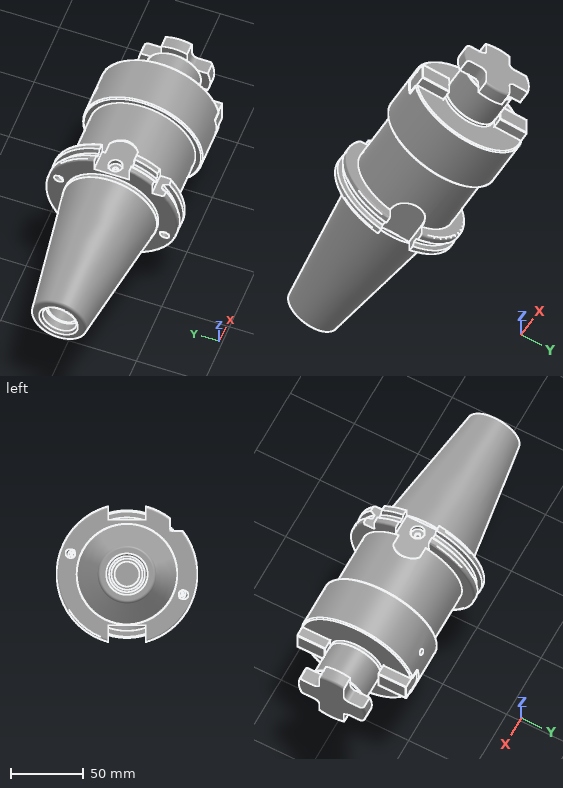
import cadquery as cq
import math

gauge_x = 101.7
flange_front_x = 104.8
flange_rear_x = 120.8
collar_x = 166.0
collar_end_x = 201.7
pilot_end_x = 228.7
overall_length = 238.8

gauge_radius = 34.9
taper_ratio = 7 / 24
small_end_radius = gauge_radius - gauge_x * taper_ratio / 2
small_end_round = 2.1
flange_radius = 48.7
flange_round = 1.7
body_radius = 39.2
collar_radius = 44.2
collar_chamfer = 1.0
pilot_radius = 20.0
pilot_chamfer = 0.5
neck_relief = 0.2
undercut_length = 2.5
undercut_depth = 0.2

groove_center_x = 112.7
groove_root_radius = 45.5
groove_root_half_width = 1.5
groove_flank_angle = 30.0

countersink_radius = 14.3
register_radius = 12.5
register_depth = 8.4
stud_thread_radius = 10.7
stud_thread_end_x = 47.8
screw_radius = 8.5
screw_end_x = 143.2

slot_width = 25.8
slot_end_x = 134.5
top_slot_floor = 37.7
bottom_slot_floor = 35.3
notch_offset = 29.8

pocket_radius = 5.0
pocket_depth = 4.5
pilot_hole_radius = 2.0
pilot_hole_depth = 2.0
drill_tip_half_angle = 59.0

plug_radius = 3.0
plug_circle_radius = 41.5
plug_angle = 20.0
plug_tilt = 25.0
plug_recess = 3.5
plug_length = 6.0
socket_width = 3.0
socket_depth = 2.9

collar_hole_radius = 2.1
collar_hole_depth = 3.5
collar_hole_x = 183.5
collar_hole_angle = 21.5

key_width = 16.7
key_start_x = 193.5
key_end_x = 209.5
key_inner = 20.8
key_outer = 42.7
key_chamfer = 0.5

head_radius = 26.5
head_round = 2.1
lobe_half_width = 9.5
lobe_corner_round = 4.3


def cylinder(radius, start, direction, length):
    return cq.Workplane(cq.Solid.makeCylinder(radius, length, start, direction))


def box_between(low, high):
    size = [b - a for a, b in zip(low, high)]
    return cq.Workplane().box(*size, centered=False).translate(low)


def turned_blank():
    """Outside of the holder, turned about the X axis."""
    relief_radius = gauge_radius - neck_relief
    undercut_radius = pilot_radius - undercut_depth
    profile = (
        cq.Workplane("XY")
        .moveTo(0, 0)
        .lineTo(0, small_end_radius)
        .lineTo(gauge_x, gauge_radius)
        .lineTo(gauge_x, relief_radius)
        .lineTo(flange_front_x, relief_radius)
        .lineTo(flange_front_x, flange_radius)
        .lineTo(flange_rear_x, flange_radius)
        .lineTo(flange_rear_x, body_radius)
        .lineTo(collar_x, body_radius)
        .lineTo(collar_x, collar_radius - collar_chamfer)
        .lineTo(collar_x + collar_chamfer, collar_radius)
        .lineTo(collar_end_x - collar_chamfer, collar_radius)
        .lineTo(collar_end_x, collar_radius - collar_chamfer)
        .lineTo(collar_end_x, undercut_radius)
        .lineTo(collar_end_x + undercut_length, undercut_radius)
        .lineTo(collar_end_x + undercut_length, pilot_radius)
        .lineTo(pilot_end_x - pilot_chamfer, pilot_radius)
        .lineTo(pilot_end_x, pilot_radius - pilot_chamfer)
        .lineTo(pilot_end_x, 0)
        .close()
    )
    blank = profile.revolve(360, (0, 0, 0), (1, 0, 0))
    flange_rims = cq.selectors.RadiusNthSelector(-1)
    blank = blank.edges("%CIRCLE").edges(flange_rims).fillet(flange_round)
    return blank.faces("<X").edges().fillet(small_end_round)


def gripper_groove():
    depth = flange_radius - groove_root_radius
    rim_half_width = groove_root_half_width + depth * math.tan(math.radians(groove_flank_angle))
    return (
        cq.Workplane("XY")
        .moveTo(groove_center_x - groove_root_half_width, groove_root_radius)
        .lineTo(groove_center_x + groove_root_half_width, groove_root_radius)
        .lineTo(groove_center_x + rim_half_width, flange_radius)
        .lineTo(groove_center_x - rim_half_width, flange_radius)
        .close()
        .revolve(360, (0, 0, 0), (1, 0, 0))
    )


def axial_bore():
    countersink_depth = countersink_radius - register_radius
    return (
        cq.Workplane("XY")
        .moveTo(0, 0)
        .lineTo(0, countersink_radius)
        .lineTo(countersink_depth, register_radius)
        .lineTo(register_depth, register_radius)
        .lineTo(register_depth, stud_thread_radius)
        .lineTo(stud_thread_end_x, stud_thread_radius)
        .lineTo(stud_thread_end_x, screw_radius)
        .lineTo(pilot_end_x, screw_radius)
        .lineTo(pilot_end_x, 0)
        .close()
        .revolve(360, (0, 0, 0), (1, 0, 0))
    )


def driving_slot(floor, side):
    """Round-ended slot from the flange front into the body; side is +1 for +Z, -1 for -Z."""
    half_width = slot_width / 2
    return (
        cq.Workplane("XY")
        .moveTo(flange_front_x, -half_width)
        .lineTo(slot_end_x - half_width, -half_width)
        .threePointArc((slot_end_x, 0), (slot_end_x - half_width, half_width))
        .lineTo(flange_front_x, half_width)
        .close()
        .extrude(side * (flange_radius - floor))
        .translate((0, 0, side * floor))
    )


def orientation_notch():
    return box_between(
        (flange_front_x, -flange_radius, notch_offset),
        (flange_rear_x, -notch_offset, flange_radius),
    )


def slot_pocket():
    """Flat pocket with a small drilled hole, sunk into the top slot floor."""
    floor_z = top_slot_floor - pocket_depth
    hole_z = floor_z - pilot_hole_depth
    tip_z = hole_z - pilot_hole_radius / math.tan(math.radians(drill_tip_half_angle))
    return (
        cq.Workplane("XZ")
        .moveTo(0, tip_z)
        .lineTo(pilot_hole_radius, hole_z)
        .lineTo(pilot_hole_radius, floor_z)
        .lineTo(pocket_radius, floor_z)
        .lineTo(pocket_radius, top_slot_floor)
        .lineTo(0, top_slot_floor)
        .close()
        .revolve(360, (0, 0, 0), (0, 1, 0))
        .translate((groove_center_x, 0, 0))
    )


def plug_plane(turn):
    """Plane on the flange front whose normal runs down an inclined hole."""
    angle = math.radians(plug_angle + turn)
    tilt = math.radians(plug_tilt)
    outward = cq.Vector(0, math.cos(angle), math.sin(angle))
    origin = cq.Vector(flange_front_x, 0, 0) + outward * plug_circle_radius
    normal = cq.Vector(math.cos(tilt), 0, 0) - outward * math.sin(tilt)
    across = cq.Vector(1, 0, 0).cross(outward)
    return cq.Plane(origin, across, normal)


def plug_hole(turn):
    return (
        cq.Workplane(plug_plane(turn))
        .workplane(offset=-plug_radius)
        .circle(plug_radius)
        .extrude(plug_radius + plug_recess + plug_length)
    )


def plug_screw(turn):
    socket_diameter = socket_width / math.cos(math.pi / 6)
    screw = cq.Workplane(plug_plane(turn)).workplane(offset=plug_recess).circle(plug_radius).extrude(plug_length)
    socket = (
        cq.Workplane(plug_plane(turn))
        .workplane(offset=plug_recess)
        .polygon(6, socket_diameter)
        .extrude(socket_depth)
    )
    return screw.cut(socket)


def collar_hole():
    angle = math.radians(collar_hole_angle)
    outward = cq.Vector(0, math.cos(angle), math.sin(angle))
    floor_center = cq.Vector(collar_hole_x, 0, 0) + outward * (collar_radius - collar_hole_depth)
    return cylinder(collar_hole_radius, floor_center, outward, 2 * collar_hole_depth)


def key_seat(turn):
    """Slot across the collar's end face, open to the outside."""
    seat = box_between(
        (key_start_x, key_inner, -key_width / 2),
        (collar_end_x, collar_radius, key_width / 2),
    )
    return seat.rotate((0, 0, 0), (1, 0, 0), turn)


def driving_key(turn):
    key = box_between(
        (key_start_x, key_inner, -key_width / 2),
        (key_end_x, key_outer, key_width / 2),
    )
    key = key.faces(">X").edges().chamfer(key_chamfer)
    return key.rotate((0, 0, 0), (1, 0, 0), turn)


def clamping_screw():
    """Screw with a four-lobed head clamped against the end of the pilot."""
    head_length = overall_length - pilot_end_x
    direction = cq.Vector(1, 0, 0)
    disc = cylinder(head_radius, cq.Vector(pilot_end_x, 0, 0), direction, head_length)
    disc = disc.faces(">X").edges().fillet(head_round)
    plane = cq.Workplane("YZ", origin=(pilot_end_x, 0, 0))
    reach = 2 * head_radius
    width = 2 * lobe_half_width
    cross = plane.rect(reach, width).extrude(head_length).union(plane.rect(width, reach).extrude(head_length))
    inner_corners = cq.selectors.BoxSelector(
        (pilot_end_x, -width, -width), (overall_length, width, width)
    )
    cross = cross.edges("|X").edges(inner_corners).fillet(lobe_corner_round)
    shank = cylinder(screw_radius, cq.Vector(screw_end_x, 0, 0), direction, pilot_end_x - screw_end_x)
    return disc.intersect(cross).union(shank)


holder = (
    turned_blank()
    .cut(gripper_groove())
    .cut(axial_bore())
    .cut(driving_slot(top_slot_floor, 1))
    .cut(driving_slot(bottom_slot_floor, -1))
    .cut(orientation_notch())
    .cut(slot_pocket())
    .cut(collar_hole())
)

keys = []
plug_screws = []
for turn in (0, 180):
    holder = holder.cut(key_seat(turn)).cut(plug_hole(turn))
    keys.append(driving_key(turn).val())
    plug_screws.append(plug_screw(turn).val())

screw = clamping_screw()

result = cq.Compound.makeCompound([holder.val(), screw.val(), *keys, *plug_screws])